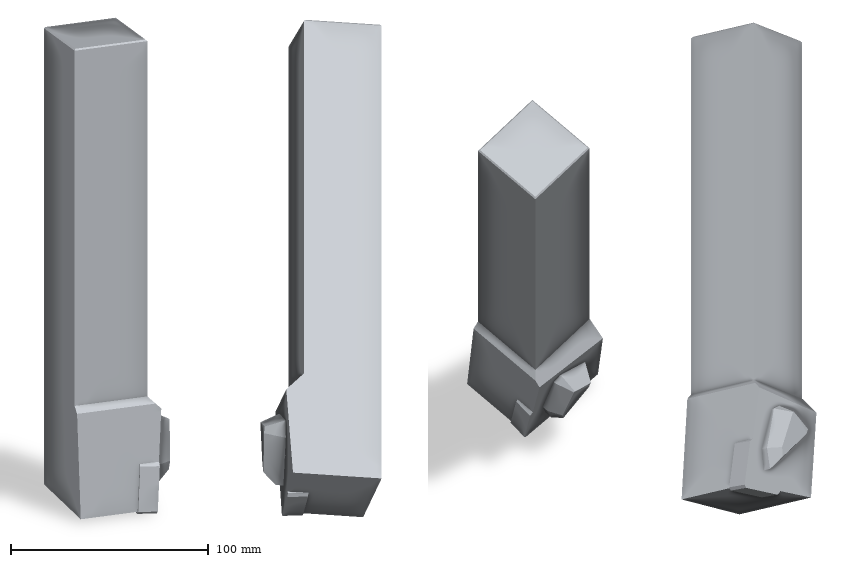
import cadquery as cq
import math

total_height = 250.0
shank_width = 40.0
shank_end_chamfer = 0.8

approach_angle = 5.0
bottom_left_z = 6.2
side_flare_start_z = 60.0
side_flare = 3.2
head_side_x = shank_width + side_flare
head_side_z = side_flare_start_z - side_flare
back_flare_start_z = 60.0
back_flare_reach = 15.0

rake_y = 45.8
rake_slope_x = 0.075
rake_slope_z = 0.078

insert_size = 26.5
insert_thickness = 10.5
insert_corner_angle = 90 - 2 * approach_angle
insert_corner_chamfer = 1.5
insert_right_x = 49.8
tip_overhang = insert_corner_chamfer * math.sin(math.radians(approach_angle))
tip_x = insert_right_x + tip_overhang
tip_z = -tip_overhang

clamp_base_y = 47.5
clamp_root_y = 42.5
clamp_top_y = 57.0
clamp_draft = 25.0
clamp_outline = [
    (11.2, 38.0),
    (28.8, 47.5),
    (33.0, 45.0),
    (38.8, 22.5),
    (36.2, 12.0),
    (15.0, 30.2),
]
clamp_nose_angle = 7.0
clamp_nose_start = (17.5, 33.0)

cutter_size = 150.0

approach_slope = math.tan(math.radians(approach_angle))


def rake_height(x, z):
    """Y of the rake face at a given X and Z."""
    return rake_y - rake_slope_x * x + rake_slope_z * (z - bottom_left_z)


def prism_along_y(points, start_y, depth, taper=0):
    """Extrude an outline of (X, Z) points toward +Y."""
    plane = cq.Plane((0, start_y, 0), xDir=(1, 0, 0), normal=(0, 1, 0))
    local_points = [(x, -z) for x, z in points]
    return cq.Workplane(plane).polyline(local_points).close().extrude(depth, taper=taper)


def half_space(origin, x_dir, normal):
    """Large block on the outer side of a plane."""
    plane = cq.Plane(origin, xDir=x_dir, normal=normal)
    return cq.Workplane(plane).rect(2 * cutter_size, 2 * cutter_size).extrude(cutter_size)


def make_holder_blank():
    flank_run = head_side_x + approach_slope * (head_side_z - bottom_left_z)
    corner_x = flank_run / (1 - approach_slope**2)
    corner_z = bottom_left_z - approach_slope * corner_x
    shank = (
        cq.Workplane("XY", origin=(0, 0, bottom_left_z))
        .rect(shank_width, shank_width, centered=False)
        .extrude(total_height - bottom_left_z)
        .faces(">Z")
        .chamfer(shank_end_chamfer)
    )
    head = prism_along_y(
        [
            (0, bottom_left_z),
            (corner_x, corner_z),
            (head_side_x, head_side_z),
            (shank_width, side_flare_start_z),
            (0, side_flare_start_z),
        ],
        0,
        shank_width + back_flare_reach,
    )
    back_flare = half_space((0, shank_width, back_flare_start_z), (1, 0, 0), (0, 1, 1))
    rake_cutter = half_space(
        (0, rake_y, bottom_left_z), (1, -rake_slope_x, 0), (rake_slope_x, 1, -rake_slope_z)
    )
    return shank.union(head.cut(back_flare).cut(rake_cutter))


def make_clamp():
    """Drafted strap with a sloping nose; it is part of the holder body."""
    root = prism_along_y(clamp_outline, clamp_root_y, clamp_base_y - clamp_root_y)
    strap = prism_along_y(clamp_outline, clamp_base_y, clamp_top_y - clamp_base_y, clamp_draft)
    nose_slope = math.tan(math.radians(clamp_nose_angle)) / math.sqrt(2)
    nose_x, nose_z = clamp_nose_start
    nose_cutter = half_space(
        (nose_x, clamp_top_y, nose_z), (1, 0, 1), (nose_slope, 1, -nose_slope)
    )
    return root.union(strap).cut(nose_cutter)


def make_insert():
    """Rhombic plate lying flush in the rake face, with its tip at the bottom corner."""
    edge_direction = (-approach_slope, approach_slope * rake_slope_x + rake_slope_z, 1)
    plane = cq.Plane(
        (tip_x, rake_height(tip_x, tip_z), tip_z),
        xDir=edge_direction,
        normal=(rake_slope_x, 1, -rake_slope_z),
    )
    corner_angle = math.radians(insert_corner_angle)
    side_x = insert_size * math.cos(corner_angle)
    side_y = -insert_size * math.sin(corner_angle)
    return (
        cq.Workplane(plane)
        .polyline([(0, 0), (insert_size, 0), (insert_size + side_x, side_y), (side_x, side_y)])
        .close()
        .extrude(-insert_thickness)
        .edges(cq.selectors.ParallelDirSelector(plane.zDir))
        .chamfer(insert_corner_chamfer)
    )


insert = make_insert()
holder = make_holder_blank().union(make_clamp()).cut(insert)

result = cq.Compound.makeCompound([holder.val(), insert.val()])